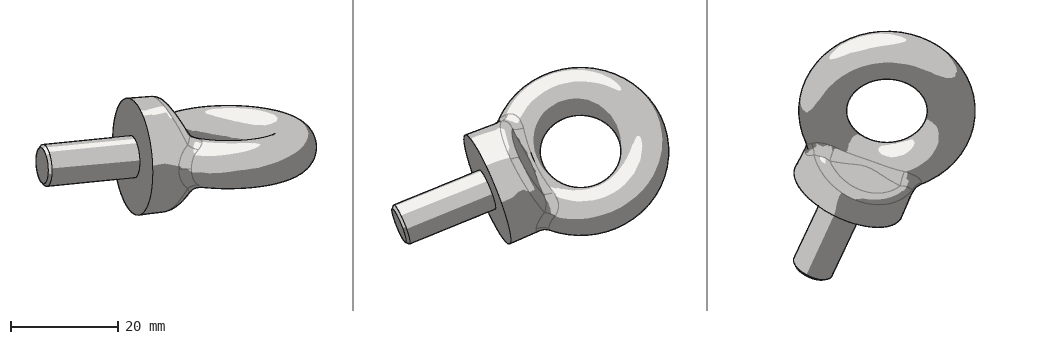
import cadquery as cq
import math

ring_outer_diameter = 33.0
ring_hole_diameter = 15.0
bar_diameter = (ring_outer_diameter - ring_hole_diameter) / 2
ring_mean_radius = (ring_hole_diameter + bar_diameter) / 2
ring_center_height = 19.0

collar_diameter = 22.0
collar_draft = 1.5
eave_height = 6.0
roof_angle = 25.0
eave_radius = 2.0
ring_blend_radius = 3.0

stud_diameter = 7.9
stud_length = 18.0
stud_chamfer = 0.55


def make_ring():
    """Torus with its axis along Z."""
    ring = cq.Solid.makeTorus(ring_mean_radius, bar_diameter / 2)
    return cq.Workplane(obj=ring).translate((0, ring_center_height, 0))


def make_collar():
    """Drafted round collar under a two-sided roof, with rounded eaves."""
    base_radius = collar_diameter / 2
    wall_slope = math.tan(math.radians(collar_draft))
    roof_slope = math.tan(math.radians(roof_angle))
    eave_half_width = base_radius - eave_height * wall_slope
    ridge_height = eave_height + eave_half_width * roof_slope
    ridge_radius = base_radius - ridge_height * wall_slope
    cone = (
        cq.Workplane("YZ")
        .polyline([(0, 0), (0, base_radius), (ridge_height, ridge_radius), (ridge_height, 0)])
        .close()
        .revolve(360, (0, 0, 0), (1, 0, 0))
    )
    roof_half_width = ridge_height / roof_slope
    roof = (
        cq.Workplane("YZ")
        .polyline([(0, -roof_half_width), (ridge_height, 0), (0, roof_half_width)])
        .close()
        .extrude(base_radius, both=True)
    )
    return cone.intersect(roof)


def make_stud():
    """Plain stud below the seating face with a chamfered tip."""
    return (
        cq.Workplane("XZ")
        .circle(stud_diameter / 2)
        .extrude(stud_length)
        .faces("<Y")
        .chamfer(stud_chamfer)
    )


def round_eaves(collar):
    """Round the two curved edges where the wall meets the roof slopes."""
    eaves = collar.edges("%ELLIPSE")
    return eaves.fillet(eave_radius)


def blend_ring(collar, ring):
    """Join the ring to the collar with a fillet along their whole intersection."""
    body = collar.union(ring)
    ring_edges = body.faces("%TORUS").edges().vals()
    collar_edges = body.faces("not(%TORUS)").edges().vals()
    junction = [edge for edge in ring_edges if any(edge.isSame(other) for other in collar_edges)]
    return body.newObject(junction).fillet(ring_blend_radius)


head = blend_ring(round_eaves(make_collar()), make_ring())
result = head.union(make_stud())